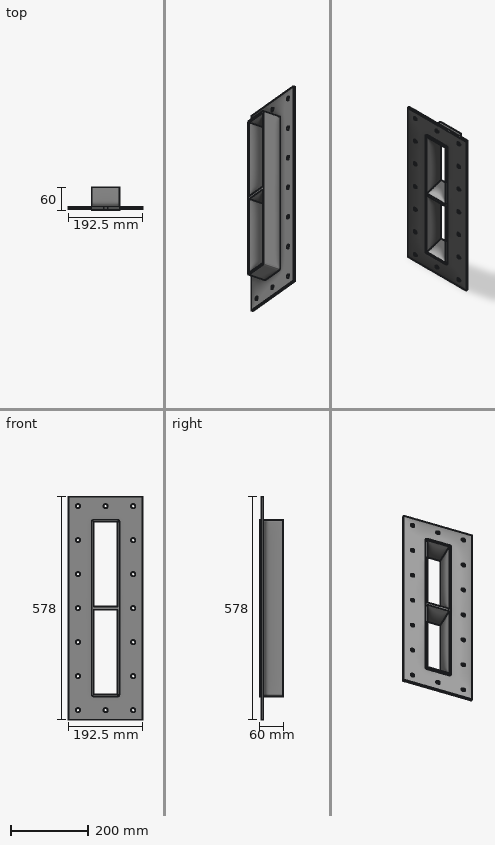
import cadquery as cq

plate_width = 192.5
plate_height = 578.0
plate_thickness = 6.0

duct_width = 72.0
duct_height = 458.0
duct_depth = 60.0
duct_wall = 6.0
duct_corner_radius = 6.0
duct_front_lip = 3.0
divider_thickness = 8.5

hole_diameter = 10.5
hole_inset = 25.0
hole_rows = 7

hole_x = plate_width / 2 - hole_inset
hole_z = plate_height / 2 - hole_inset
hole_pitch = 2 * hole_z / (hole_rows - 1)

window_width = duct_width - 2 * duct_wall
window_height = (duct_height - 2 * duct_wall - divider_thickness) / 2
window_offset = (window_height + divider_thickness) / 2


def block(width, depth, height, front_y):
    """Box centred in X and Z, running toward +Y from front_y."""
    return cq.Workplane("XY").box(width, depth, height).translate((0, front_y + depth / 2, 0))


def bolt_points():
    """Both side columns, plus one middle hole in the top and bottom rows."""
    points = [(0, -hole_z), (0, hole_z)]
    for row in range(hole_rows):
        z = -hole_z + row * hole_pitch
        points += [(-hole_x, z), (hole_x, z)]
    return points


plate = block(plate_width, plate_thickness, plate_height, 0)
holes = (
    cq.Workplane("XZ")
    .pushPoints(bolt_points())
    .circle(hole_diameter / 2)
    .extrude(-plate_thickness)
)

duct = block(duct_width, duct_depth, duct_height, -duct_front_lip)
duct = duct.edges("|Y").fillet(duct_corner_radius)

result = plate.cut(holes).union(duct)

for side in (-1, 1):
    window = block(window_width, duct_depth, window_height, -duct_front_lip)
    result = result.cut(window.translate((0, 0, side * window_offset)))